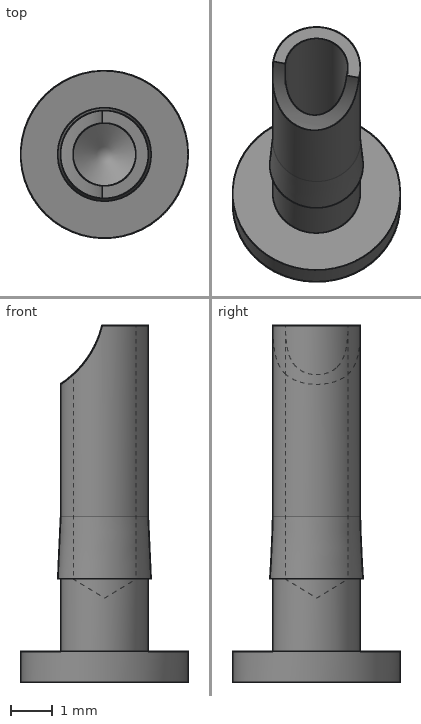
import cadquery as cq
import math

total_height = 8.5
flange_radius = 2.0
flange_thickness = 0.74
shaft_radius = 1.045
barb_bottom = 2.465
barb_top = 3.95
barb_radius = 1.11
bore_radius = 0.75
bore_floor = 2.465
drill_tip_angle = 118

scoop_radius = 2.31
scoop_axis_x = -2.3
scoop_axis_z = 9.04


def make_body():
    """Revolve the flange, shaft and barb around Z."""
    return (
        cq.Workplane("XZ")
        .lineTo(flange_radius, 0)
        .lineTo(flange_radius, flange_thickness)
        .lineTo(shaft_radius, flange_thickness)
        .lineTo(shaft_radius, barb_bottom)
        .lineTo(barb_radius, barb_bottom)
        .lineTo(shaft_radius, barb_top)
        .lineTo(shaft_radius, total_height)
        .lineTo(0, total_height)
        .close()
        .revolve(360, (0, 0), (0, 1))
    )


def make_bore():
    """Blind bore from the tip, ending in a drill cone."""
    cone_depth = bore_radius / math.tan(math.radians(drill_tip_angle / 2))
    return (
        cq.Workplane("XZ")
        .moveTo(0, bore_floor - cone_depth)
        .lineTo(bore_radius, bore_floor)
        .lineTo(bore_radius, total_height)
        .lineTo(0, total_height)
        .close()
        .revolve(360, (0, 0), (0, 1))
    )


def make_scoop():
    """Cylinder along Y that cuts away the -X side of the tip."""
    return (
        cq.Workplane("XZ")
        .center(scoop_axis_x, scoop_axis_z)
        .circle(scoop_radius)
        .extrude(flange_radius, both=True)
    )


result = make_body().cut(make_bore()).cut(make_scoop())